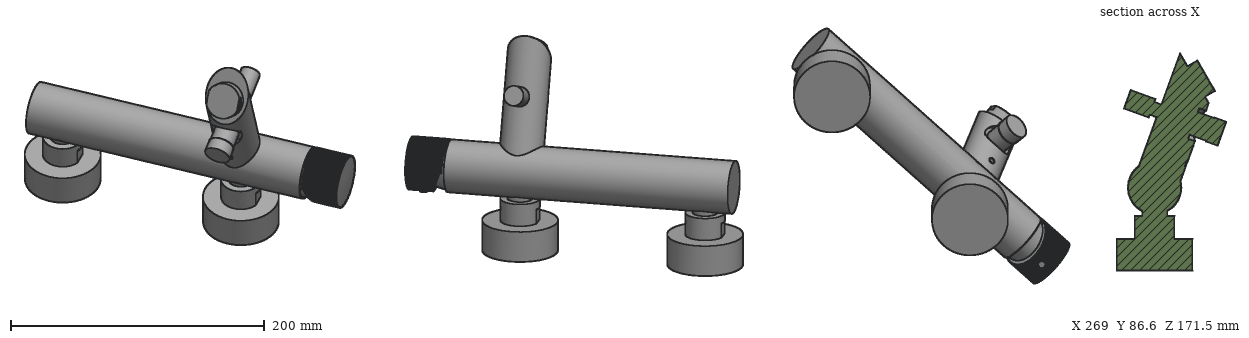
import cadquery as cq
import math


RIGHT = cq.Vector(1, 0, 0)
BACK = cq.Vector(0, 1, 0)
FRONT = cq.Vector(0, -1, 0)
UP = cq.Vector(0, 0, 1)
DOWN = cq.Vector(0, 0, -1)

bar_radius = 21.0
bar_left = -173.2
bar_right = 57.0

inlet_spacing = 150.0
flange_radius = 30.0
flange_bottom = -65.55
flange_height = 25.0
flange_top = flange_bottom + flange_height
collar_radius = 15.8
collar_top = -22.4
flat_half_width = 14.6
flat_drop = 6.6
flat_top = collar_top - flat_drop
neck_radius = 10.0

tube_lean = 20.0
tube_radius = 17.5
tube_tip_height = 106.36
mouth_angle = 50.0
tube_cut_length = 80.0

button_radius = 14.0
button_height = 9.0
button_from_tip = 25.8
button_flat_half_width = 12.85
button_flat_height = 4.0

cross_height = 58.0
spout_recess_radius = 12.7
spout_recess_floor = 11.8
spout_root_radius = 9.7
spout_tip_radius = 10.2
spout_step = 25.4
spout_end = 35.43
stem_radius = 5.5
knob_radius = 7.9
knob_start = 23.2
knob_end = 44.0

screw_height = 26.5
screw_radius = 2.5
screw_floor = 16.7

handle_start = 58.9
knurl_end = 88.3
handle_end = 89.02
handle_radius = 21.2
tooth_count = 80
tooth_depth = 0.6
core_base_radius = 19.5
core_taper = 13.0
core_end = 72.0
relief_top_x = 60.4
relief_bottom_x = 69.2
stud_x = 78.1
stud_radius = 3.0
stud_tip = 22.7


def rod(start, direction, radius, length):
    return cq.Workplane(cq.Solid.makeCylinder(radius, length, cq.Vector(*start), direction))


def make_bar():
    return rod((bar_left, 0, 0), RIGHT, bar_radius, bar_right - bar_left)


def make_inlet(x):
    flange = rod((x, 0, flange_bottom), UP, flange_radius, flange_height)
    collar = rod((x, 0, flange_top), UP, collar_radius, collar_top - flange_top)
    flat_height = flat_top - flange_top
    for side in (-1, 1):
        waste = cq.Workplane("XY").box(
            collar_radius, 2 * collar_radius, flat_height, centered=(True, True, False)
        )
        offset = side * (flat_half_width + collar_radius / 2)
        collar = collar.cut(waste.translate((x + offset, 0, flange_top)))
    neck = rod((x, 0, collar_top), UP, neck_radius, -collar_top)
    return flange.union(collar).union(neck)


def mouth_plane():
    slope = math.radians(mouth_angle)
    normal = (0, -math.cos(slope), math.sin(slope))
    return cq.Plane(origin=(0, tube_radius, tube_tip_height), xDir=(1, 0, 0), normal=normal)


def make_button(plane):
    button = cq.Workplane(plane).center(0, -button_from_tip).circle(button_radius).extrude(button_height)
    flats = cq.Workplane(plane).workplane(offset=button_height - button_flat_height)
    flat_offset = button_flat_half_width + button_radius / 2
    flats = flats.pushPoints([(side * flat_offset, -button_from_tip) for side in (-1, 1)])
    return button.cut(flats.rect(button_radius, 2 * button_radius).extrude(button_flat_height))


def make_outlet():
    tube = rod((0, 0, 0), UP, tube_radius, tube_tip_height)
    plane = mouth_plane()
    above_mouth = cq.Workplane(plane).rect(2 * tube_cut_length, 2 * tube_cut_length)
    tube = tube.cut(above_mouth.extrude(tube_cut_length))

    spout_floor = (0, -spout_recess_floor, cross_height)
    tube = tube.cut(rod(spout_floor, FRONT, spout_recess_radius, tube_radius))
    tube = tube.cut(rod((0, -screw_floor, screw_height), FRONT, screw_radius, tube_radius))

    spout_root = rod((0, 0, cross_height), FRONT, spout_root_radius, spout_step)
    spout_tip = rod((0, -spout_step, cross_height), FRONT, spout_tip_radius, spout_end - spout_step)
    stem = rod((0, 0, cross_height), BACK, stem_radius, knob_start)
    knob = rod((0, knob_start, cross_height), BACK, knob_radius, knob_end - knob_start)

    outlet = tube.union(make_button(plane))
    for piece in (spout_root, spout_tip, stem, knob):
        outlet = outlet.union(piece)
    return outlet.rotate((0, 0, 0), (1, 0, 0), tube_lean)


def make_handle():
    root_radius = handle_radius - tooth_depth
    half_pitch = math.pi / tooth_count
    outline = []
    for i in range(2 * tooth_count):
        radius = handle_radius if i % 2 == 0 else root_radius
        outline.append((radius * math.cos(i * half_pitch), radius * math.sin(i * half_pitch)))
    length = knurl_end - handle_start
    handle = cq.Workplane("YZ").workplane(offset=handle_start).polyline(outline).close().extrude(length)

    cap_center = cq.Vector(knurl_end, 0, 0)
    end_cap = cq.Solid.makeCone(root_radius, 0, handle_end - knurl_end, cap_center, RIGHT)
    handle = handle.union(cq.Workplane(end_cap))

    relief = cq.Workplane("XZ").moveTo(bar_right, 0).lineTo(relief_top_x, 0)
    relief = relief.lineTo(relief_bottom_x, -bar_radius).lineTo(relief_bottom_x, -2 * bar_radius)
    relief = relief.lineTo(bar_right, -2 * bar_radius).close().extrude(2 * bar_radius, both=True)
    handle = handle.cut(relief)

    core_length = core_end - bar_right
    core = cq.Workplane("YZ").workplane(offset=bar_right).circle(core_base_radius)
    core = core.extrude(core_length, taper=core_taper)
    stud = rod((stud_x, 0, 0), DOWN, stud_radius, stud_tip)
    return handle.union(core).union(stud)


result = make_bar().union(make_outlet()).union(make_handle())
for inlet_x in (-inlet_spacing, 0):
    result = result.union(make_inlet(inlet_x))